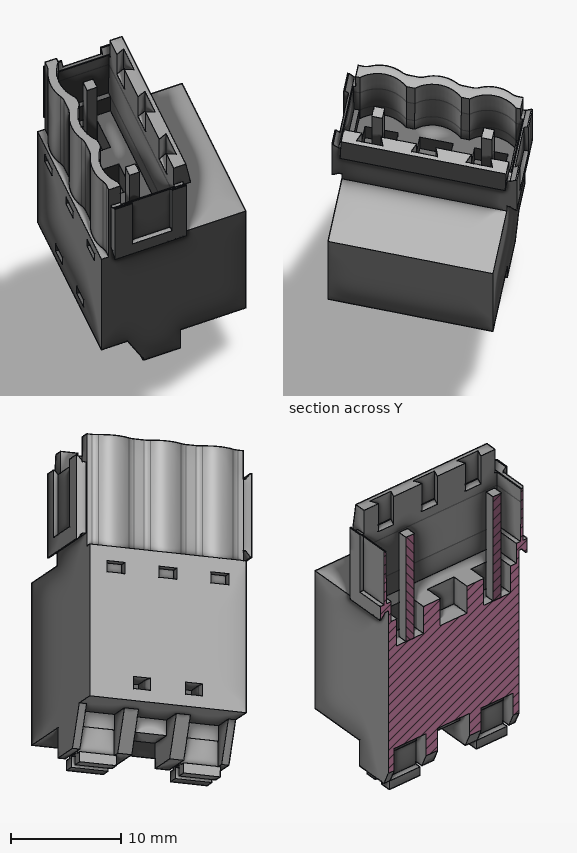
import cadquery as cq


pitch = 5.1
pole_xs = [-pitch, 0, pitch]
contact_xs = [-pitch, pitch]

width = 15.32
depth = 14.2
block_top = 19.33
block_bottom = 4.0
front_bottom = 5.0
foot_bottom = 1.15
foot_back_y = 7.78
foot_front_y = 4.22
foot_slope_top_y = 2.57

top = 29.93
shroud_back_y = 8.0
front_flat_y = 0.72
wave_rise = 0.48
wave_half = 2.07
wave_blend = 0.57

cavity_front_y = 1.85
cavity_back_y = 7.1
cavity_half = 7.87
cavity_lower_half = 7.3
scallop_half = 2.15
scallop_sag = 0.78
taper_top = 25.85
taper_inset = 0.1
shelf_z = 21.55
cavity_floor = block_top

socket_width = 3.08
socket_length = 2.87
socket_y = 4.05
socket_depth = 3.0
socket_floor = cavity_floor - socket_depth

hook_bottom = 26.82
hook_top_y = 8.3
hook_bottom_y = 8.77
slot_floor = hook_bottom
slot_back_y = 7.9
slot_back_half = 1.23
slot_mouth_half = 0.9

rail_outer_x = 8.6
rail_lip = 0.12
rail_foot_x = 7.95
rail_bottom = 20.0
rail_top = 27.92
rail_slope_height = 0.6
rail_front_y = 0.95
rail_back_y = shroud_back_y
rail_window_x = 8.15
rail_window_front_y = 2.7
rail_window_back_y = 6.55

upper_window_width = 1.75
upper_window_height = 1.05
upper_window_z = 17.42
upper_window_depth = 0.8
lower_window_width = 1.65
lower_window_height = 1.15
lower_window_z = 6.7
lower_window_depth = 0.75
lower_window_outer_draft = 0.1
lower_window_inner_draft = 0.2
lower_shaft_back_y = 2.45
lower_shaft_bottom = 5.15

cell_width = 3.7
cell_ceiling = 3.53
cell_wall_y = 5.0

terminal_width = 3.6
terminal_neck_back_y = 6.95
terminal_head_front_y = 4.4
terminal_head_back_y = 7.63
terminal_head_height = 0.95
terminal_slot_front_y = 5.5
terminal_slot_back_y = 6.43
terminal_slot_height = 1.05

pin_width = 1.0
pin_y = 4.1
pin_top = rail_top


def block(x0, x1, y0, y1, z0, z1):
    """Box between two opposite corners."""
    return cq.Workplane("XY").box(x1 - x0, y1 - y0, z1 - z0, centered=False).translate((x0, y0, z0))


def centred_block(x, x_size, y0, y1, z0, z1):
    """Box centred on x."""
    return block(x - x_size / 2, x + x_size / 2, y0, y1, z0, z1)


def main_block():
    """Side profile of the block and its foot, extruded over the width."""
    profile = [
        (0, front_bottom),
        (foot_slope_top_y, front_bottom),
        (foot_front_y, foot_bottom),
        (foot_back_y, foot_bottom),
        (foot_back_y, block_bottom),
        (depth, block_bottom),
        (depth, block_top),
        (0, block_top),
    ]
    return cq.Workplane("YZ").polyline(profile).close().extrude(width / 2, both=True)


def shroud_block():
    """Solid shroud with one wave per pole along its front."""
    crest_y = front_flat_y - wave_rise
    blend_y = front_flat_y - wave_rise * wave_blend / wave_half
    outline = cq.Workplane("XY").workplane(offset=block_top)
    outline = outline.moveTo(-width / 2, shroud_back_y).lineTo(-width / 2, front_flat_y)
    for x in pole_xs:
        outline = outline.lineTo(x - wave_half, front_flat_y)
        outline = outline.tangentArcPoint((x - wave_half + wave_blend, blend_y), relative=False)
        outline = outline.threePointArc((x, crest_y), (x + wave_half - wave_blend, blend_y))
        outline = outline.tangentArcPoint((x + wave_half, front_flat_y), relative=False)
    outline = outline.lineTo(width / 2, front_flat_y).lineTo(width / 2, shroud_back_y).close()
    return outline.extrude(top - block_top)


def latch_hook():
    """Undercut hook along the outside of the back wall."""
    profile = [
        (shroud_back_y, hook_bottom),
        (hook_bottom_y, hook_bottom),
        (hook_top_y, top),
        (shroud_back_y, top),
    ]
    return cq.Workplane("YZ").polyline(profile).close().extrude(width / 2, both=True)


def side_rail():
    """Rail with two bevelled ends on the +X side, with its open-topped window."""
    lip_x = rail_outer_x - rail_lip
    profile = [
        (0, rail_bottom + rail_slope_height),
        (rail_foot_x, rail_bottom + rail_slope_height),
        (lip_x, rail_bottom),
        (rail_outer_x, rail_bottom),
        (rail_outer_x, rail_top),
        (lip_x, rail_top),
        (rail_foot_x, rail_top - rail_slope_height),
        (0, rail_top - rail_slope_height),
    ]
    rail = cq.Workplane("XZ", origin=(0, rail_back_y, 0)).polyline(profile).close()
    rail = rail.extrude(rail_back_y - rail_front_y)
    window = block(rail_window_x, rail_outer_x, rail_window_front_y, rail_window_back_y, shelf_z, rail_top)
    return rail.cut(window)


def cavity_outline(plane, half_width, inset):
    """Cavity section with one scallop per pole along the front, moved in by inset front and back."""
    front_y = cavity_front_y + inset
    back_y = cavity_back_y - inset
    outline = plane.moveTo(-half_width, back_y).lineTo(-half_width, front_y)
    for x in pole_xs:
        outline = outline.lineTo(x - scallop_half, front_y)
        outline = outline.threePointArc((x, front_y - scallop_sag), (x + scallop_half, front_y))
    return outline.lineTo(half_width, front_y).lineTo(half_width, back_y).close()


def mating_cavity():
    """Straight mouth, tapered middle and narrower lower part."""
    mouth = cavity_outline(cq.Workplane("XY").workplane(offset=taper_top), cavity_half, 0)
    mouth = mouth.extrude(top - taper_top)
    middle = cavity_outline(cq.Workplane("XY").workplane(offset=taper_top), cavity_half, 0)
    middle = middle.workplane(offset=shelf_z - taper_top)
    middle = cavity_outline(middle, cavity_half - taper_inset, taper_inset).loft(ruled=True)
    lower = cavity_outline(cq.Workplane("XY").workplane(offset=cavity_floor), cavity_lower_half, taper_inset)
    lower = lower.extrude(shelf_z - cavity_floor)
    return mouth.union(middle).union(lower)


def shroud_mouth():
    """Opening above the side walls, from side to side between the front and back walls."""
    return centred_block(0, width, cavity_front_y, cavity_back_y, rail_top - rail_slope_height, top)


def socket(x):
    """Square contact socket in the cavity floor."""
    y0 = socket_y - socket_length / 2
    return centred_block(x, socket_width, y0, y0 + socket_length, socket_floor, cavity_floor)


def dovetail_slot(x):
    """Vertical dovetail slot in the inside of the back wall."""
    section = [
        (x - slot_mouth_half, cavity_back_y),
        (x - slot_back_half, slot_back_y),
        (x + slot_back_half, slot_back_y),
        (x + slot_mouth_half, cavity_back_y),
    ]
    return cq.Workplane("XY").workplane(offset=slot_floor).polyline(section).close().extrude(top - slot_floor)


def upper_window(x):
    """Shallow test window near the top of the front face."""
    z0 = upper_window_z - upper_window_height / 2
    return centred_block(x, upper_window_width, 0, upper_window_depth, z0, z0 + upper_window_height)


def lower_window(side):
    """Test window between two poles: a drafted mouth leading into a deeper shaft."""
    inner_x = side * (pitch / 2 - lower_window_width / 2)
    outer_x = side * (pitch / 2 + lower_window_width / 2)
    shaft_inner_x = inner_x + side * lower_window_inner_draft
    shaft_outer_x = outer_x - side * lower_window_outer_draft
    z0 = lower_window_z - lower_window_height / 2
    z1 = z0 + lower_window_height
    section = [
        (inner_x, 0),
        (outer_x, 0),
        (shaft_outer_x, lower_window_depth),
        (shaft_inner_x, lower_window_depth),
    ]
    mouth = cq.Workplane("XY").workplane(offset=z0).polyline(section).close().extrude(z1 - z0)
    shaft_xs = sorted([shaft_inner_x, shaft_outer_x])
    shaft = block(*shaft_xs, lower_window_depth, lower_shaft_back_y, lower_shaft_bottom, z1)
    return mouth.union(shaft)


def terminal_cell(x):
    """Cell in the foot: a front recess, and a passage from front to back below the ceiling."""
    recess = centred_block(x, cell_width, 0, cell_wall_y, foot_bottom, front_bottom)
    passage = centred_block(x, cell_width, 0, foot_back_y, foot_bottom, cell_ceiling)
    return recess.union(passage)


def make_housing():
    """Block, shroud, hook and rails in one piece, with all openings cut."""
    rail = side_rail()
    body = main_block().union(shroud_block()).union(latch_hook())
    body = body.union(rail).union(rail.mirror("YZ")).clean()
    body = body.cut(mating_cavity()).cut(shroud_mouth())
    for x in pole_xs:
        body = body.cut(socket(x)).cut(dovetail_slot(x)).cut(upper_window(x)).cut(terminal_cell(x))
    for side in (-1, 1):
        body = body.cut(lower_window(side))
    return body.solids()


def make_pin(x):
    """Square pin standing on the socket floor."""
    y0 = pin_y - pin_width / 2
    return centred_block(x, pin_width, y0, y0 + pin_width, socket_floor, pin_top)


def make_terminal(x):
    """Slotted terminal hanging from the cell ceiling, with a head wider than its neck."""
    neck = centred_block(x, terminal_width, cell_wall_y, terminal_neck_back_y, 0, cell_ceiling)
    head = centred_block(
        x, terminal_width, terminal_head_front_y, terminal_head_back_y, 0, terminal_head_height
    )
    slot = centred_block(
        x, terminal_width, terminal_slot_front_y, terminal_slot_back_y, 0, terminal_slot_height
    )
    return neck.union(head).cut(slot).solids()


housing = make_housing()
pins = [make_pin(x) for x in contact_xs]
terminals = [make_terminal(x) for x in contact_xs]

result = cq.Compound.makeCompound([
    housing.val(),
    *[pin.val() for pin in pins],
    *[terminal.val() for terminal in terminals],
])